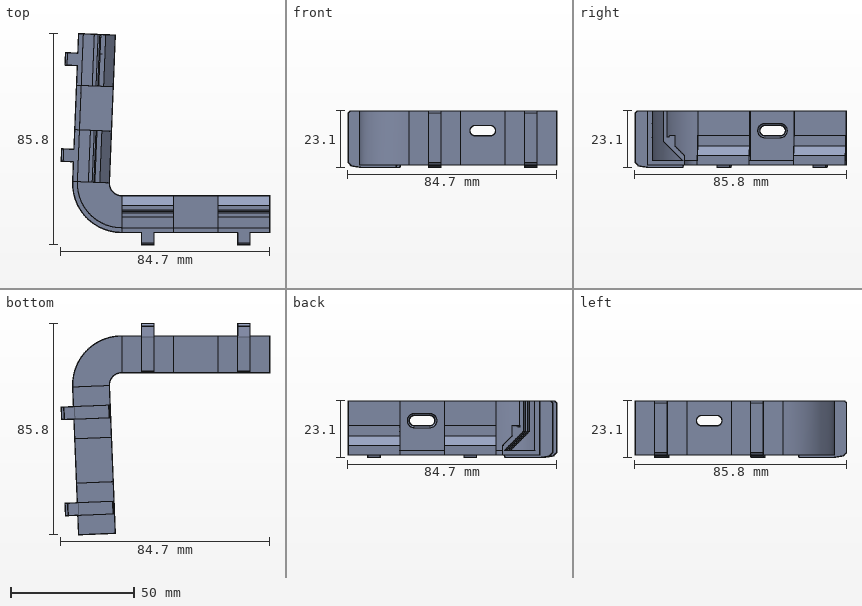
import cadquery as cq
import math

ARM_ANGLE = 87.7
BEND_RADIUS = 20.0
CLIP_LENGTH = 21.0
MIDDLE_LENGTH = 18.0

WALL = 2.0
HEIGHT = 22.1
WIDTH = 15.0

TONGUE_FRONT = 6.4
TONGUE_THICKNESS = 1.55
LEDGE_FRONT = 9.1
LEDGE_THICKNESS = 2.0
LEDGE_TOP = 12.0
GROOVE_BOTTOM = 11.3
GROOVE_RISE = 0.2
GROOVE_RAMP = 0.7
RIM_HEIGHT = 3.9

RIB_WIDTH = 5.15
RIB_DEPTH = 5.0
RIB_TOP_CHAMFER = 0.9
RIB_LOWER_CHAMFER = 1.0
FOOT_DEPTH = 1.0
FOOT_NOSE = 0.35
FOOT_NOSE_INSET = 0.2
FOOT_FLAT_START = 0.4
FOOT_FLAT_END = 14.3
FOOT_END = 14.7

SLOT_LENGTH = 10.3
SLOT_HEIGHT = 4.1
SLOT_CENTRE_HEIGHT = 14.0
SLOT_LIP = 0.5
SLOT_FLARE = 0.9

BEND_CENTRE = cq.Vector(0, BEND_RADIUS, 0)
BEND_ANGLE = 180 - ARM_ANGLE


def extrude_along_x(points, start, length):
    """Extrude an outline of (y, z) points along X."""
    return cq.Workplane("YZ", origin=(start, 0, 0)).polyline(points).close().extrude(length)


def channel_outline():
    """Outer wall and floor as an L."""
    return [(0, 0), (WIDTH, 0), (WIDTH, WALL), (WALL, WALL), (WALL, HEIGHT), (0, HEIGHT)]


def retainer_outline():
    """Wall that leans inward from the inner edge at 45 degrees and carries the tongue."""
    ledge_back = LEDGE_FRONT + LEDGE_THICKNESS
    tongue_back = TONGUE_FRONT + TONGUE_THICKNESS
    underside_start = WIDTH + RIM_HEIGHT - WALL * math.sqrt(2)
    ramp_top = GROOVE_BOTTOM + GROOVE_RISE
    return [
        (WIDTH, 0),
        (WIDTH, RIM_HEIGHT),
        (ledge_back, RIM_HEIGHT + WIDTH - ledge_back),
        (ledge_back, LEDGE_TOP),
        (LEDGE_FRONT, LEDGE_TOP),
        (tongue_back + GROOVE_RAMP, ramp_top),
        (tongue_back, GROOVE_BOTTOM),
        (tongue_back, HEIGHT),
        (TONGUE_FRONT, HEIGHT),
        (TONGUE_FRONT, underside_start - TONGUE_FRONT),
        (underside_start - WALL, WALL),
        (underside_start - WALL, 0),
    ]


def rib_outline():
    """Rib outside the wall and foot under the floor; the wall face and floor close it."""
    lower_y = RIB_LOWER_CHAMFER - RIB_DEPTH
    return [
        (0, HEIGHT),
        (RIB_TOP_CHAMFER - RIB_DEPTH, HEIGHT),
        (-RIB_DEPTH, HEIGHT - RIB_TOP_CHAMFER),
        (-RIB_DEPTH, RIB_LOWER_CHAMFER),
        (lower_y, 0),
        (lower_y + FOOT_NOSE_INSET, -FOOT_NOSE),
        (FOOT_FLAT_START, -FOOT_DEPTH),
        (FOOT_FLAT_END, -FOOT_DEPTH),
        (FOOT_END, 0),
        (0, 0),
    ]


def make_clip_section(start):
    """Channel with retainer inside and a rib at mid-length outside."""
    rib_start = start + (CLIP_LENGTH - RIB_WIDTH) / 2
    channel = extrude_along_x(channel_outline(), start, CLIP_LENGTH)
    retainer = extrude_along_x(retainer_outline(), start, CLIP_LENGTH)
    rib = extrude_along_x(rib_outline(), rib_start, RIB_WIDTH)
    return channel.union(retainer).union(rib).clean().val()


def slot_profile(centre_x, depth):
    """Slot outline parallel to the outer wall, at a depth below the outer face."""
    return cq.Workplane("XZ", origin=(centre_x, depth, SLOT_CENTRE_HEIGHT)).slot2D(SLOT_LENGTH, SLOT_HEIGHT)


def make_middle_section(start):
    """Plain channel with a horizontal countersunk slot through the outer wall."""
    centre_x = start + MIDDLE_LENGTH / 2
    sink_depth = WALL - SLOT_LIP
    flare_angle = math.degrees(math.atan(SLOT_FLARE / sink_depth))
    straight_slot = slot_profile(centre_x, 0).extrude(-SLOT_LIP)
    countersink = slot_profile(centre_x, SLOT_LIP).extrude(-sink_depth, taper=-flare_angle)
    channel = extrude_along_x(channel_outline(), start, MIDDLE_LENGTH)
    return channel.cut(straight_slot).cut(countersink).val()


def make_corner():
    """The same channel revolved around the bend centre, from the X arm to the second arm."""
    return (
        cq.Workplane("YZ")
        .polyline(channel_outline())
        .close()
        .revolve(BEND_ANGLE, (BEND_RADIUS, 0), (BEND_RADIUS, -1))
        .val()
    )


def swing_to_second_arm(solid):
    """Mirror a solid of the X arm and turn it around the bend centre."""
    return solid.mirror("YZ").rotate(BEND_CENTRE, BEND_CENTRE + cq.Vector(0, 0, 0.9), -BEND_ANGLE)


corner = make_corner()
clip_sections = [make_clip_section(start) for start in (0, CLIP_LENGTH + MIDDLE_LENGTH)]
clip_sections += [swing_to_second_arm(clip) for clip in clip_sections]
middle_sections = [make_middle_section(CLIP_LENGTH)]
middle_sections += [swing_to_second_arm(middle) for middle in middle_sections]

result = cq.Compound.makeCompound([corner, *clip_sections, *middle_sections])